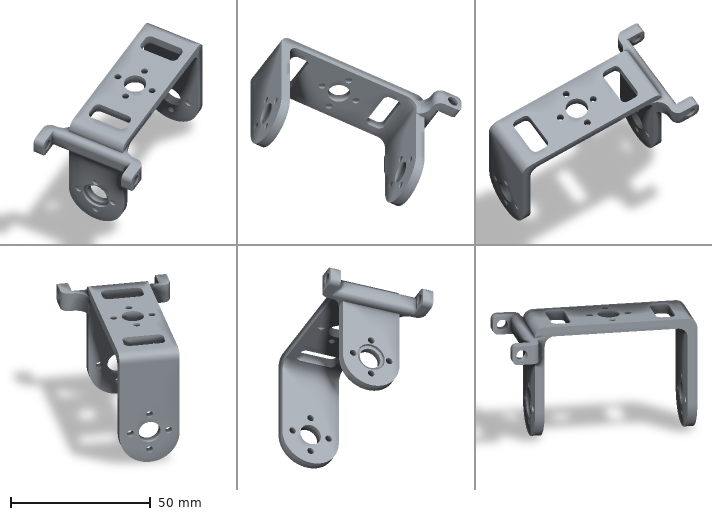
import cadquery as cq

total_length = 69.3
ear_reach = 10.0
strap_length = total_length - ear_reach
strap_width = 22.0
strap_height = 43.5
thickness = 3.5
bend_radius = thickness

bar_width = 40.0
bar_height = 7.0
bar_top = -thickness
bar_depth = 3.45
bar_edge_radius = 2.0
bar_corner_radius = 3.0
flare_radius = 5.0
ear_width = 4.0
ear_hole_diameter = 4.0
ear_hole_reach = 6.5

center_hole_diameter = 8.0
screw_hole_diameter = 2.5
screw_circle_diameter = 14.0
leg_pattern_height = 12.0
top_pattern_y = 29.1
counterbore_diameter = 10.5
counterbore_depth = 1.05

window_length = 15.05
window_width = 7.0
window_corner_radius = 2.0
window_spacing = 38.2


def box(width, y_min, y_max, z_min, z_max):
    """Block centered on x = 0 between the given y and z limits."""
    block = cq.Workplane("XY", origin=(0, y_min, z_min))
    return block.box(width, y_max - y_min, z_max - z_min, centered=(True, False, False))


def make_strap():
    """Solid block with rounded upper bends and half-round lower ends; the cavity is cut later."""
    block = box(strap_width, 0, strap_length, -strap_height, 0)
    block = block.edges("|X and >Z").fillet(bend_radius)
    half_width = strap_width / 2
    leg_outline = (
        cq.Workplane("XZ")
        .moveTo(-half_width, 0)
        .lineTo(-half_width, half_width - strap_height)
        .threePointArc((0, -strap_height), (half_width, half_width - strap_height))
        .lineTo(half_width, 0)
        .close()
        .extrude(-strap_length)
    )
    return block.intersect(leg_outline)


def make_cross_bar():
    """Bar between the ears, rounded along its front and flared back into the strap sides."""
    bar_bottom = bar_top - bar_height
    bar = box(bar_width - 2 * ear_width, -bar_depth, 0, bar_bottom, bar_top)
    bar = bar.edges("|X and <Y").fillet(bar_edge_radius)
    half_strap = strap_width / 2
    flare_end = half_strap + flare_radius
    flare = (
        cq.Workplane("XY", origin=(0, 0, bar_bottom))
        .moveTo(-flare_end, 0)
        .lineTo(flare_end, 0)
        .radiusArc((half_strap, flare_radius), flare_radius)
        .lineTo(-half_strap, flare_radius)
        .radiusArc((-flare_end, 0), flare_radius)
        .close()
        .extrude(bar_height)
    )
    return bar.union(flare)


def make_ear(side):
    """Ear with a rounded nose, a rounded outer back corner and a pin hole."""
    outer_face = ">X" if side > 0 else "<X"
    center_x = side * (bar_width - ear_width) / 2
    pin_hole = (
        cq.Workplane("YZ", origin=(-ear_width / 2, -ear_hole_reach, bar_top - bar_height / 2))
        .circle(ear_hole_diameter / 2)
        .extrude(ear_width)
    )
    return (
        box(ear_width, -ear_reach, 0, bar_top - bar_height, bar_top)
        .edges("|X and <Y").fillet(bar_edge_radius)
        .faces(outer_face).edges("|Z and >Y").fillet(bar_corner_radius)
        .cut(pin_hole)
        .translate((center_x, 0, 0))
    )


def make_cavity():
    """Space inside the U, wide enough to trim the flares as well."""
    cavity = box(bar_width, thickness, strap_length - thickness, -strap_height, -thickness)
    return cavity.edges("|X and >Z").fillet(bend_radius)


def make_hole_pattern(plane, depth):
    """Center hole and four screw holes, cut to the given depth from the plane."""
    center_hole = plane.circle(center_hole_diameter / 2).extrude(depth)
    screw_holes = (
        plane.polarArray(screw_circle_diameter / 2, 0, 360, 4)
        .circle(screw_hole_diameter / 2)
        .extrude(depth)
    )
    return center_hole.union(screw_holes)


def make_windows():
    """Two rounded windows through the top, evenly placed about the middle of the strap."""
    return (
        cq.Workplane("XY", origin=(0, strap_length / 2, 0))
        .rarray(0.7, window_spacing, 1, 2)
        .rect(window_length, window_width)
        .extrude(-thickness)
        .edges("|Z")
        .fillet(window_corner_radius)
    )


result = make_strap().union(make_cross_bar())
for side in (-1, 1):
    result = result.union(make_ear(side))
result = result.cut(make_cavity())

top_plane = cq.Workplane("XY", origin=(0, top_pattern_y, 0))
leg_plane = cq.Workplane("XZ", origin=(0, 0, leg_pattern_height - strap_height))
result = result.cut(make_hole_pattern(top_plane, -thickness))
result = result.cut(make_hole_pattern(leg_plane, -strap_length))
result = result.cut(make_windows())

counterbore = leg_plane.circle(counterbore_diameter / 2).extrude(-counterbore_depth)
result = result.cut(counterbore)